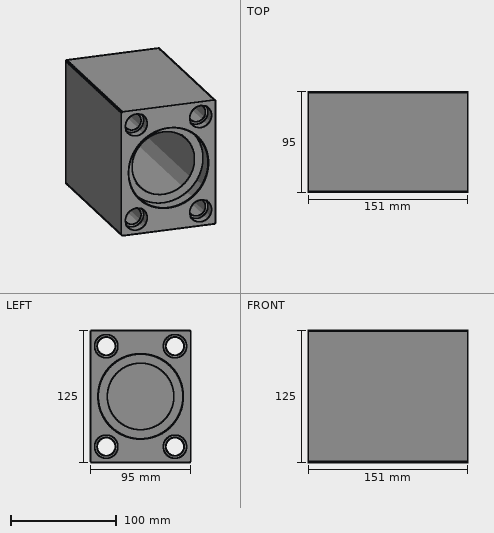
import cadquery as cq

length = 151.0
width = 95.0
height = 125.0
edge_chamfer = 1.0

bore_diameter = 63.0
seat_diameter = 80.0
seat_depth = 14.0
seat_chamfer = 0.5
end_wall = (width - bore_diameter) / 2
bore_depth = length - end_wall

bolt_spacing_y = 65.0
bolt_spacing_z = 95.0
bolt_hole_diameter = 17.0
head_diameter = 22.0
head_depth = 10.0


def bolt_pattern():
    """The four bolt centres on the -X face, facing into the block."""
    open_face = cq.Workplane("YZ", origin=(-length / 2, 0, 0))
    return open_face.rarray(bolt_spacing_y, bolt_spacing_z, 2, 2)


def make_block():
    """Plain block with its four edges along X chamfered."""
    return cq.Workplane("XY").box(length, width, height).edges("|X").chamfer(edge_chamfer)


def make_bore():
    """Blind bore with a wider seat and a small lead-in chamfer at the mouth."""
    bore_radius = bore_diameter / 2
    seat_radius = seat_diameter / 2
    half_profile = (
        cq.Workplane("XY", origin=(-length / 2, 0, 0))
        .moveTo(0, 0)
        .lineTo(0, seat_radius + seat_chamfer)
        .lineTo(seat_chamfer, seat_radius)
        .lineTo(seat_depth, seat_radius)
        .lineTo(seat_depth, bore_radius)
        .lineTo(bore_depth, bore_radius)
        .lineTo(bore_depth, 0)
        .close()
    )
    return half_profile.revolve(360, (0, 0, 0), (1, 0, 0))


def make_bolt_holes():
    """Through holes with counterbores for the bolt heads."""
    holes = bolt_pattern().circle(bolt_hole_diameter / 2).extrude(length)
    heads = bolt_pattern().circle(head_diameter / 2).extrude(head_depth)
    return holes.union(heads)


result = make_block().cut(make_bore()).cut(make_bolt_holes())